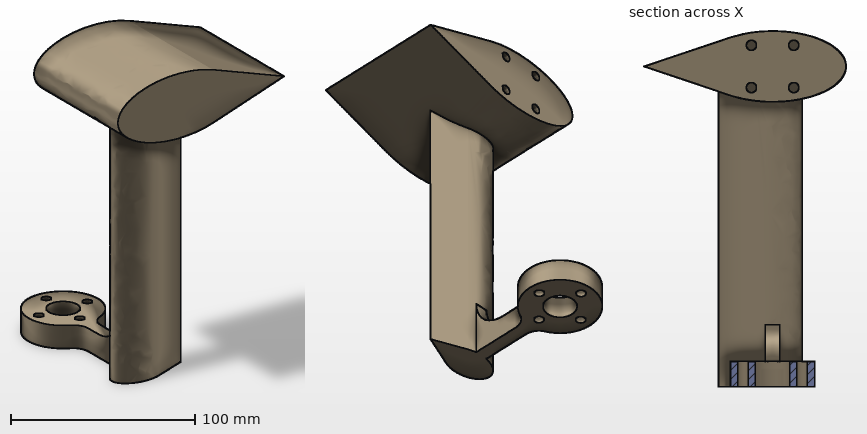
import cadquery as cq
import math

FLANGE_X = -69.8
FLANGE_RADIUS = 23.0
FLANGE_THICKNESS = 13.8
FLANGE_BORE = 18.5
BOLT_CIRCLE_RADIUS = 16.0
BOLT_HOLE_DIAMETER = 5.5
BOLT_COUNT = 4

ARM_WIDTH = 8.0
ARM_NECK_RADIUS = 10.0
ARM_RISE_RADIUS = 20.0

STRUT_NOSE = 16.2
STRUT_HALF_WIDTH = 10.0
STRUT_TAIL = 29.5

HEAD_LENGTH = 80.0
HEAD_NOSE = 40.0
HEAD_HALF_HEIGHT = 19.3
HEAD_TAIL = 70.0
TOTAL_HEIGHT = 193.42
HEAD_CENTER_Z = TOTAL_HEIGHT - HEAD_HALF_HEIGHT
HEAD_HOLE_DIAMETER = 5.5
HEAD_HOLE_SPACING = 23.0
HEAD_HOLE_DEPTH = 20.0


def teardrop(plane, nose, half_thickness, tail):
    """Elliptical nose towards local -x, with tangent flats meeting at local x = tail."""
    tangent_x = nose**2 / tail
    tangent_y = half_thickness * math.sqrt(1 - (nose / tail) ** 2)
    start_angle = math.degrees(math.acos(nose / tail))
    return (
        plane.moveTo(tangent_x, tangent_y)
        .ellipseArc(nose, half_thickness, start_angle, 360 - start_angle, startAtCurrent=True)
        .lineTo(tail, 0)
        .close()
    )


def make_flange():
    disc = cq.Workplane("XY").center(FLANGE_X, 0).circle(FLANGE_RADIUS)
    return disc.extrude(FLANGE_THICKNESS)


def make_arm():
    half_width = ARM_WIDTH / 2
    neck_y = half_width + ARM_NECK_RADIUS
    center_distance = FLANGE_RADIUS + ARM_NECK_RADIUS
    neck_angle = math.asin(neck_y / center_distance)
    neck_x = FLANGE_X + center_distance * math.cos(neck_angle)
    rim_x = FLANGE_X + FLANGE_RADIUS * math.cos(neck_angle)
    rim_y = FLANGE_RADIUS * math.sin(neck_angle)
    mid_angle = (neck_angle + math.pi / 2) / 2
    mid_x = neck_x - ARM_NECK_RADIUS * math.cos(mid_angle)
    mid_y = neck_y - ARM_NECK_RADIUS * math.sin(mid_angle)
    bar = (
        cq.Workplane("XY")
        .moveTo(FLANGE_X, rim_y)
        .lineTo(rim_x, rim_y)
        .threePointArc((mid_x, mid_y), (neck_x, half_width))
        .lineTo(0, half_width)
        .lineTo(0, -half_width)
        .lineTo(neck_x, -half_width)
        .threePointArc((mid_x, -mid_y), (rim_x, -rim_y))
        .lineTo(FLANGE_X, -rim_y)
        .close()
        .extrude(FLANGE_THICKNESS)
    )
    rise_top = FLANGE_THICKNESS + ARM_RISE_RADIUS
    rise_end_x = -STRUT_HALF_WIDTH
    rise_start_x = rise_end_x - ARM_RISE_RADIUS
    rise = (
        cq.Workplane("XZ")
        .moveTo(rise_start_x, FLANGE_THICKNESS)
        .radiusArc((rise_end_x, rise_top), -ARM_RISE_RADIUS)
        .lineTo(0, rise_top)
        .lineTo(0, FLANGE_THICKNESS)
        .close()
        .extrude(half_width, both=True)
    )
    return bar.union(rise)


def make_strut():
    section_plane = cq.Plane(origin=(0, 0, 0), xDir=(0, 1, 0), normal=(0, 0, 1))
    section = teardrop(cq.Workplane(section_plane), STRUT_NOSE, STRUT_HALF_WIDTH, STRUT_TAIL)
    return section.extrude(HEAD_CENTER_Z)


def make_head():
    section_plane = cq.Workplane("YZ", origin=(-HEAD_LENGTH / 2, 0, HEAD_CENTER_Z))
    return teardrop(section_plane, HEAD_NOSE, HEAD_HALF_HEIGHT, HEAD_TAIL).extrude(HEAD_LENGTH)


def flange_holes():
    plane = cq.Workplane("XY").center(FLANGE_X, 0)
    bore = plane.circle(FLANGE_BORE / 2).extrude(FLANGE_THICKNESS)
    bolts = (
        plane.polarArray(BOLT_CIRCLE_RADIUS, 0, 360, BOLT_COUNT)
        .circle(BOLT_HOLE_DIAMETER / 2)
        .extrude(FLANGE_THICKNESS)
    )
    return bore.union(bolts)


def head_holes():
    """Square pattern of blind holes in the flange-side end of the head."""
    return (
        cq.Workplane("YZ", origin=(-HEAD_LENGTH / 2, 0, HEAD_CENTER_Z))
        .rarray(HEAD_HOLE_SPACING, HEAD_HOLE_SPACING, 2, 2)
        .circle(HEAD_HOLE_DIAMETER / 2)
        .extrude(HEAD_HOLE_DEPTH)
    )


body = make_flange().union(make_arm()).union(make_strut()).union(make_head())
result = body.cut(flange_holes()).cut(head_holes())